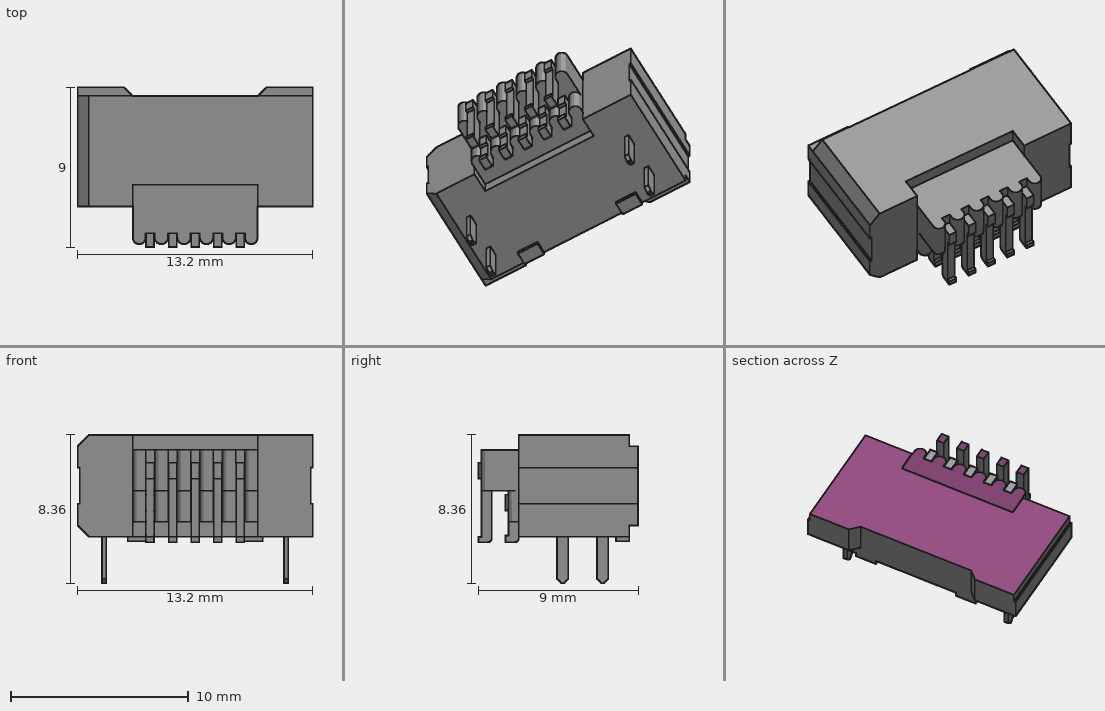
import cadquery as cq


housing_length = 13.23
housing_depth = 6.23
housing_height = 5.74
edge_chamfer = 0.64

end_groove_depth = 0.1
end_groove_bottom = 1.87
end_groove_height = 2.04

flange_thickness = 0.49
flange_length = 3.1

notch_width = 7.03
notch_depth = 1.23

foot_width = 1.27
foot_depth = 0.77
foot_height = 0.25
feet_span = 7.62

post_thickness = 0.25
post_width = 0.65
post_length = 2.62
post_tip_chamfer = 0.26
post_x = 5.12
post_front_y = 2.47
post_spacing = 2.25

carrier_margin = 0.85
carrier_top = housing_height - carrier_margin
carrier_bottom = carrier_margin
upper_tier_height = 2.3
upper_tier_bottom = carrier_top - upper_tier_height
slot_width = 0.5

contact_count = 5
contact_pitch = 1.27
contact_width = 0.46
contact_thickness = 0.6
contact_bend_radius = contact_width / 2
contact_reach = 0.17
contact_bottom = -0.3
bump_height = 0.9
rib_setback = 0.16
upper_row_back = -1.51
upper_bump_drop = 0.71
upper_bump_top = carrier_top - upper_bump_drop
upper_toe_height = 0.3
lower_row_back = 0.01
lower_bump_drop = 0.21
lower_bump_top = upper_tier_bottom - lower_bump_drop
lower_toe_height = 0.38


def box(x_range, y_range, z_range):
    """Box between the given (low, high) limits along each axis."""
    low = [limits[0] for limits in (x_range, y_range, z_range)]
    size = [limits[1] - limits[0] for limits in (x_range, y_range, z_range)]
    return cq.Workplane("XY").box(*size, centered=False).translate(tuple(low))


def make_block():
    """Housing block with its two -X edges chamfered."""
    half_length = housing_length / 2
    block = box((-half_length, half_length), (0, housing_depth), (0, housing_height))
    return block.edges("|Y and <X").chamfer(edge_chamfer)


def make_flange(side):
    """Flange on the mating face at one end, with its inner edge bevelled at 45 degrees."""
    outer = side * housing_length / 2
    inner = outer - side * flange_length
    back = housing_depth + flange_thickness
    return (
        cq.Workplane("XY", origin=(0, 0, edge_chamfer))
        .moveTo(outer, housing_depth)
        .lineTo(inner, housing_depth)
        .lineTo(inner + side * flange_thickness, back)
        .lineTo(outer, back)
        .close()
        .extrude(housing_height - 2 * edge_chamfer)
    )


def make_end_groove(side):
    """Cutter for the shallow groove along one end, flanges included."""
    outer = side * housing_length / 2
    inner = outer - side * end_groove_depth
    return box(
        (min(inner, outer), max(inner, outer)),
        (0, housing_depth + flange_thickness),
        (end_groove_bottom, end_groove_bottom + end_groove_height),
    )


def make_foot(side):
    """Stand-off foot under the mating edge."""
    centre = side * (feet_span - foot_width) / 2
    return box(
        (centre - foot_width / 2, centre + foot_width / 2),
        (housing_depth - foot_depth, housing_depth),
        (-foot_height, 0),
    )


def make_post(x, y):
    """Flat mounting post with its tip narrowed along Y."""
    post = box(
        (x - post_thickness / 2, x + post_thickness / 2),
        (y - post_width / 2, y + post_width / 2),
        (-post_length, 0),
    )
    return post.edges("|X and <Z").chamfer(post_tip_chamfer)


def make_housing():
    """Housing with flanges, grooves, notch, feet and mounting posts."""
    housing = make_block()
    for side in (-1, 1):
        housing = housing.union(make_flange(side))
        housing = housing.cut(make_end_groove(side))
        housing = housing.union(make_foot(side))
        for y in (post_front_y, post_front_y + post_spacing):
            housing = housing.union(make_post(side * post_x, y))
    notch = box((-notch_width / 2, notch_width / 2), (0, notch_depth), (0, housing_height))
    return housing.cut(notch)


def contact_positions():
    """X positions of the contact columns, centred on the housing."""
    first = -(contact_count - 1) / 2 * contact_pitch
    return [first + i * contact_pitch for i in range(contact_count)]


def row_front(row_back):
    """Y of the foremost faces (bumps and toes) of a contact row."""
    return row_back - contact_thickness - contact_reach


def make_tier(row_back, bottom, top):
    """Carrier tier whose front is a row of round-nosed ribs, one slot per contact."""
    nose_y = row_front(row_back) + rib_setback
    half_width = notch_width / 2
    slots = [(x - slot_width / 2, x + slot_width / 2) for x in contact_positions()]
    rib_starts = [-half_width] + [right for _, right in slots]
    rib_ends = [left for left, _ in slots] + [half_width]

    tier = box((-half_width, half_width), (row_back, notch_depth), (bottom, top))
    for left, right in zip(rib_starts, rib_ends):
        tangent_y = nose_y + (right - left) / 2
        rib = (
            cq.Workplane("XY", origin=(0, 0, bottom))
            .moveTo(left, row_back)
            .lineTo(left, tangent_y)
            .threePointArc(((left + right) / 2, nose_y), (right, tangent_y))
            .lineTo(right, row_back)
            .close()
            .extrude(top - bottom)
        )
        tier = tier.union(rib)
    return tier


def make_contact(x, row_back, bump_top, toe_height):
    """Contact with a raised bump at the top, a straight leg and a toe at the bottom."""
    leg_front = row_back - contact_thickness
    front = row_front(row_back)
    bump_bottom = bump_top - bump_height
    toe_top = contact_bottom + toe_height
    contact = (
        cq.Workplane("YZ", origin=(x - contact_width / 2, 0, 0))
        .moveTo(row_back, bump_top)
        .lineTo(front, bump_top)
        .lineTo(front, bump_bottom)
        .lineTo(leg_front, bump_bottom)
        .lineTo(leg_front, toe_top)
        .lineTo(front, toe_top)
        .lineTo(front, contact_bottom)
        .lineTo(row_back, contact_bottom)
        .close()
        .extrude(contact_width)
    )
    return contact.edges("|X and >Y and <Z").fillet(contact_bend_radius)


def make_carrier():
    """Contact carrier: both tiers with their contacts fixed in the slots."""
    carrier = make_tier(upper_row_back, upper_tier_bottom, carrier_top)
    carrier = carrier.union(make_tier(lower_row_back, carrier_bottom, upper_tier_bottom))
    for x in contact_positions():
        carrier = carrier.union(make_contact(x, upper_row_back, upper_bump_top, upper_toe_height))
        carrier = carrier.union(make_contact(x, lower_row_back, lower_bump_top, lower_toe_height))
    return carrier


housing = make_housing()
carrier = make_carrier()

result = cq.Compound.makeCompound([housing.solids().val(), carrier.solids().val()])